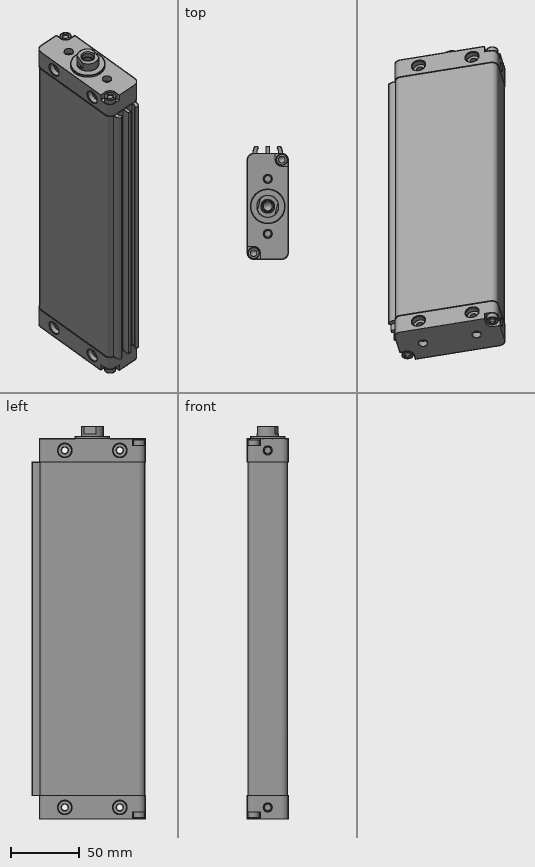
import cadquery as cq
import math

total_height = 285.0
cap_top = 276.2
cap_height = 17.0
cap_width = 30.0
cap_depth = 77.0
cap_corner_radius = 4.8

barrel_width = 28.8
barrel_depth = 76.5
barrel_corner_radius = 4.5
barrel_bottom = cap_height
barrel_height = cap_top - 2 * cap_height

rail_top = 43.5
rib_width = 2.5
lip_foot_x = 10.8
lip_outer_x = 10.0
lip_hook_x = 6.8
lip_neck_x = 7.7
lip_nose_height = 1.5
lip_hook_height = 2.8
lip_bow = 0.3
lip_root_depth = 0.5

rod_diameter = 16.0
rod_flat_width = 13.0
rod_flat_angle = -15.0
rod_flat_bottom = 279.5
rod_core_diameter = 6.5
rod_thread_diameter = 8.3
rod_mouth_chamfer = 0.9
rod_core_depth = 7.0
rod_thread_depth = 4.3
drill_point_angle = 118.0
collar_diameter = 25.0
collar_height = 1.7
collar_chamfer = 0.3

hole_pitch = 40.0
hole_inset = 8.5
thread_diameter = 6.5
thread_depth = 5.0
core_diameter = 4.8
core_depth = 6.0
mount_diameter = 4.8
mount_recess_diameter = 9.7
mount_mouth_diameter = 10.5
mount_recess_depth = 4.3
mount_mouth_depth = (mount_mouth_diameter - mount_recess_diameter) / 2

screw_x = 10.3
screw_y = 34.0
screw_pocket_diameter = 9.7
screw_pocket_depth = 5.0
screw_head_diameter = 8.3
screw_head_height = 4.3
screw_head_chamfer = 0.3
screw_socket_diameter = 4.8
screw_socket_depth = 1.5


def rounded_block(width, depth, height, corner_radius, bottom):
    """Upright block centred on the rod axis with rounded vertical edges."""
    block = cq.Workplane("XY").workplane(offset=bottom).rect(width, depth).extrude(height)
    return block.edges("|Z").fillet(corner_radius)


def threaded_hole(start, direction):
    """Blind threaded hole with a smaller core hole below the thread, as a cutting solid."""
    point = cq.Vector(*start)
    axis = cq.Vector(*direction)
    thread = cq.Solid.makeCylinder(thread_diameter / 2, thread_depth, point, axis)
    core = cq.Solid.makeCylinder(core_diameter / 2, core_depth, point, axis)
    return cq.Workplane(thread.fuse(core))


def mounting_hole(y, z):
    """Cross hole through the full width with a round recess at both ends."""
    half_width = cap_width / 2
    along_x = cq.Vector(1, 0, 0)
    cutter = cq.Solid.makeCylinder(mount_diameter / 2, cap_width, cq.Vector(-half_width, y, z), along_x)
    for side in (-1, 1):
        face = cq.Vector(side * half_width, y, z)
        inward = cq.Vector(-side, 0, 0)
        recess = cq.Solid.makeCylinder(mount_recess_diameter / 2, mount_recess_depth, face, inward)
        mouth = cq.Solid.makeCone(
            mount_mouth_diameter / 2, mount_recess_diameter / 2, mount_mouth_depth, face, inward
        )
        cutter = cutter.fuse(recess, mouth)
    return cq.Workplane(cutter)


def screw_pocket(side):
    """Round pocket opened squarely towards the two outer faces of its corner."""
    floor = cap_top - screw_pocket_depth
    radius = screw_pocket_diameter / 2
    round_part = cq.Workplane("XY", origin=(side * screw_x, side * screw_y, floor)).circle(radius)
    pocket = round_part.extrude(screw_pocket_depth)
    for shift_x, shift_y in ((1, 0), (0, 1), (1, 1)):
        centre = (side * (screw_x + shift_x * radius), side * (screw_y + shift_y * radius), floor)
        opening = cq.Workplane("XY", origin=centre).rect(2 * radius, 2 * radius)
        pocket = pocket.union(opening.extrude(screw_pocket_depth))
    return pocket


def drilled_hole(x, y, top, diameter, depth):
    """Vertical hole of the given full-diameter depth, ending in a drill point."""
    radius = diameter / 2
    point_depth = radius / math.tan(math.radians(drill_point_angle / 2))
    profile = cq.Workplane("XZ", origin=(x, y, top)).lineTo(radius, 0).lineTo(radius, -depth)
    profile = profile.lineTo(0, -depth - point_depth).close()
    return profile.revolve(360, (0, 0, 0), (0, 1, 0))


def screw_head(side):
    """Screw head standing on the pocket floor, with a drilled socket."""
    floor = cap_top - screw_pocket_depth
    x = side * screw_x
    y = side * screw_y
    head = cq.Workplane("XY", origin=(x, y, floor))
    head = head.circle(screw_head_diameter / 2).extrude(screw_head_height)
    head = head.faces(">Z").edges().chamfer(screw_head_chamfer)
    return head.cut(
        drilled_hole(x, y, floor + screw_head_height, screw_socket_diameter, screw_socket_depth)
    )


def make_cap():
    """Cap in the upper position with its holes and two corner screws."""
    cap = rounded_block(cap_width, cap_depth, cap_height, cap_corner_radius, cap_top - cap_height)
    hole_z = cap_top - hole_inset
    for side in (-1, 1):
        y = side * hole_pitch / 2
        cap = cap.cut(mounting_hole(y, hole_z))
        cap = cap.cut(threaded_hole((0, y, cap_top), (0, 0, -1)))
        cap = cap.cut(screw_pocket(side)).union(screw_head(side))
    return cap.cut(threaded_hole((0, -cap_depth / 2, hole_z), (0, 1, 0)))


def make_front_cap():
    collar = cq.Workplane("XY").workplane(offset=cap_top)
    collar = collar.circle(collar_diameter / 2).extrude(collar_height)
    collar = collar.faces(">Z").edges().chamfer(collar_chamfer)
    rod_passage = cq.Workplane("XY").workplane(offset=cap_top - cap_height)
    rod_passage = rod_passage.circle(rod_diameter / 2).extrude(cap_height + collar_height)
    return make_cap().union(collar).cut(rod_passage)


def make_end_cap():
    return make_cap().mirror("XY", (0, 0, cap_top / 2))


def hooked_lip():
    """Lip on the -X side, bulging inwards at the top to hold a sensor in the groove."""
    face_y = barrel_depth / 2
    root_y = face_y - lip_root_depth
    nose_y = rail_top - lip_nose_height
    neck_y = rail_top - lip_hook_height
    bow_point = (-(lip_foot_x + lip_outer_x) / 2 - lip_bow, (face_y + nose_y) / 2)
    crest = (-(lip_outer_x + lip_hook_x) / 2, rail_top)
    outline = cq.Workplane("XY", origin=(0, 0, barrel_bottom)).moveTo(-lip_neck_x, root_y)
    outline = outline.lineTo(-lip_foot_x, root_y).lineTo(-lip_foot_x, face_y)
    outline = outline.threePointArc(bow_point, (-lip_outer_x, nose_y))
    outline = outline.threePointArc(crest, (-lip_hook_x, nose_y)).lineTo(-lip_neck_x, neck_y)
    return outline.close().extrude(barrel_height)


def make_barrel():
    barrel = rounded_block(barrel_width, barrel_depth, barrel_height, barrel_corner_radius, barrel_bottom)
    rib = cq.Workplane("XY", origin=(0, rail_top / 2, barrel_bottom))
    barrel = barrel.union(rib.rect(rib_width, rail_top).extrude(barrel_height))
    lip = hooked_lip()
    return barrel.union(lip).union(lip.mirror("YZ"))


def make_rod():
    bottom = cap_top - cap_height
    rod = cq.Workplane("XY").workplane(offset=bottom)
    rod = rod.circle(rod_diameter / 2).extrude(total_height - bottom)
    flat_height = total_height - rod_flat_bottom
    blank = cq.Workplane("XY").workplane(offset=rod_flat_bottom)
    blank = blank.rect(2 * rod_diameter, 2 * rod_diameter).rect(rod_flat_width, 2 * rod_diameter)
    flats = blank.extrude(flat_height).rotate((0, 0, 0), (0, 0, 1), rod_flat_angle)
    rod = rod.cut(flats)
    rod = rod.cut(drilled_hole(0, 0, total_height, rod_core_diameter, rod_core_depth))
    thread = cq.Workplane("XY", origin=(0, 0, total_height - rod_thread_depth))
    rod = rod.cut(thread.circle(rod_thread_diameter / 2).extrude(rod_thread_depth))
    mouth_edge = rod.faces(">Z").edges(cq.selectors.RadiusNthSelector(0))
    return mouth_edge.chamfer(rod_mouth_chamfer)


front_cap = make_front_cap()
end_cap = make_end_cap()
barrel = make_barrel()
rod = make_rod()

result = cq.Compound.makeCompound([front_cap.val(), end_cap.val(), barrel.val(), rod.val()])